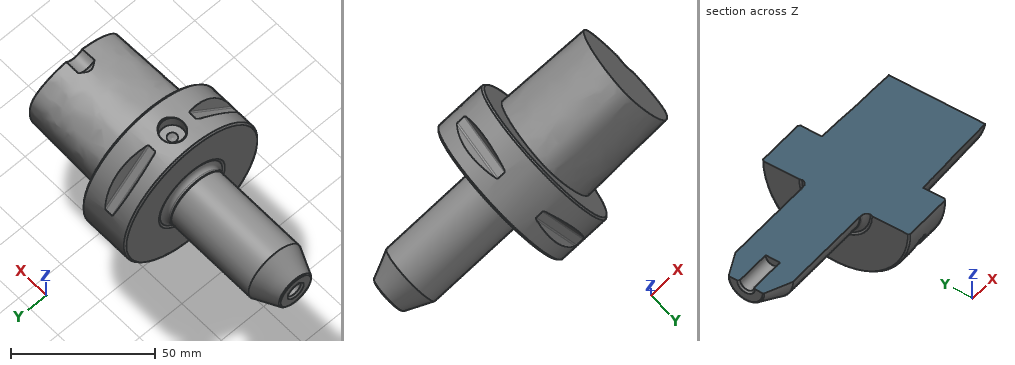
import cadquery as cq
import math

total_length = 113.0
nose_length = 10.7
seat_start = 50.1
seat_step_length = 0.2
collar_start = 53.0
collar_end = 74.9

tip_radius = 7.1
tip_chamfer_length = 0.3
tip_chamfer_height = 0.6
shank_radius = 24.7 / 2
seat_radius = 25.0 / 2
root_fillet = 2.1
relief_depth = 0.3
relief_outer_radius = 15.6
collar_radius = 63.0 / 2
collar_chamfer = 0.7

bore_radius = 6.0 / 2
bore_chamfer = 0.8
bore_depth = 15.8

taper_large_radius = 22.1
taper_large_lobe = 1.5
taper_small_radius = 21.07
taper_small_lobe = 1.53
lobe_count = 3
outline_points = 48

grip_center = 62.9
socket_radius = 10.0 / 2
socket_chamfer = 0.5
socket_depth = 5.2
drill_radius = 4.0 / 2
drill_tip_angle = 118.0
grip_angles = (45, 135, 225, 315)
grip_floor_radius = 28.0
grip_floor_width = 3.8
grip_side_angle = 30.0
grip_root_fillet = 0.7

groove_radius = 5.0
groove_axis_height = 22.6
groove_straight_start = 106.8


def make_turned_body():
    relief_floor = collar_start + relief_depth
    fillet_start = relief_floor - root_fillet
    fillet_center_radius = seat_radius + root_fillet
    diagonal = root_fillet * math.sqrt(0.5)
    return (
        cq.Workplane("XY")
        .lineTo(0, tip_radius)
        .lineTo(tip_chamfer_length, tip_radius + tip_chamfer_height)
        .lineTo(nose_length, shank_radius)
        .lineTo(seat_start, shank_radius)
        .lineTo(seat_start + seat_step_length, seat_radius)
        .lineTo(fillet_start, seat_radius)
        .threePointArc(
            (fillet_start + diagonal, fillet_center_radius - diagonal),
            (relief_floor, fillet_center_radius),
        )
        .lineTo(collar_start, relief_outer_radius)
        .lineTo(collar_start, collar_radius - collar_chamfer)
        .lineTo(collar_start + collar_chamfer, collar_radius)
        .lineTo(collar_end - collar_chamfer, collar_radius)
        .lineTo(collar_end, collar_radius - collar_chamfer)
        .lineTo(collar_end, 0)
        .close()
        .revolve(360, (0, 0, 0), (1, 0, 0))
    )


def lobed_outline(x, mean_radius, lobe):
    """Rounded triangle, one lobe toward -Z, with reach mean + lobe * cos(3 * angle)."""
    points = []
    for i in range(outline_points):
        angle = 2 * math.pi * i / outline_points
        reach = mean_radius + lobe * math.cos(lobe_count * angle)
        slope = -lobe_count * lobe * math.sin(lobe_count * angle)
        down = reach * math.cos(angle) - slope * math.sin(angle)
        side = reach * math.sin(angle) + slope * math.cos(angle)
        points.append(cq.Vector(x, side, -down))
    return cq.Wire.assembleEdges([cq.Edge.makeSpline(points, periodic=True)])


def make_taper():
    large = lobed_outline(collar_end, taper_large_radius, taper_large_lobe)
    small = lobed_outline(total_length, taper_small_radius, taper_small_lobe)
    return cq.Workplane(cq.Solid.makeLoft([large, small], True))


def make_bore():
    return (
        cq.Workplane("XY")
        .lineTo(0, bore_radius + bore_chamfer)
        .lineTo(bore_chamfer, bore_radius)
        .lineTo(bore_depth, bore_radius)
        .lineTo(bore_depth, 0)
        .close()
        .revolve(360, (0, 0, 0), (1, 0, 0))
    )


def make_socket():
    """Chamfered round socket in the top of the rim, with a conical drill point in its floor."""
    floor = collar_radius - socket_depth
    point = floor - drill_radius / math.tan(math.radians(drill_tip_angle / 2))
    return (
        cq.Workplane("XZ", origin=(grip_center, 0, 0))
        .moveTo(0, point)
        .lineTo(drill_radius, floor)
        .lineTo(socket_radius, floor)
        .lineTo(socket_radius, collar_radius - socket_chamfer)
        .lineTo(socket_radius + socket_chamfer, collar_radius)
        .lineTo(0, collar_radius)
        .close()
        .revolve(360, (0, 0, 0), (0, 1, 0))
    )


def make_grip_slot(angle):
    """Flat-floored slot with sloping sides and rounded roots, cut straight across the rim."""
    height = collar_radius - grip_floor_radius
    half_floor = grip_floor_width / 2
    half_top = half_floor + height * math.tan(math.radians(grip_side_angle))
    return (
        cq.Workplane("XZ", origin=(grip_center, 0, 0))
        .moveTo(-half_floor, grip_floor_radius)
        .lineTo(half_floor, grip_floor_radius)
        .lineTo(half_top, collar_radius)
        .lineTo(-half_top, collar_radius)
        .close()
        .extrude(collar_radius, both=True)
        .faces("<Z")
        .edges("|Y")
        .fillet(grip_root_fillet)
        .rotate((0, 0, 0), (1, 0, 0), angle)
    )


def make_key_groove():
    """Round groove along X that runs out in a 45 degree cone."""
    return (
        cq.Workplane("XZ", origin=(0, 0, groove_axis_height))
        .moveTo(groove_straight_start - groove_radius, 0)
        .lineTo(groove_straight_start, groove_radius)
        .lineTo(total_length, groove_radius)
        .lineTo(total_length, 0)
        .close()
        .revolve(360, (0, 0, 0), (1, 0, 0))
    )


taper = make_taper().cut(make_key_groove())
result = make_turned_body().union(taper).cut(make_bore()).cut(make_socket())
for grip_angle in grip_angles:
    result = result.cut(make_grip_slot(grip_angle))